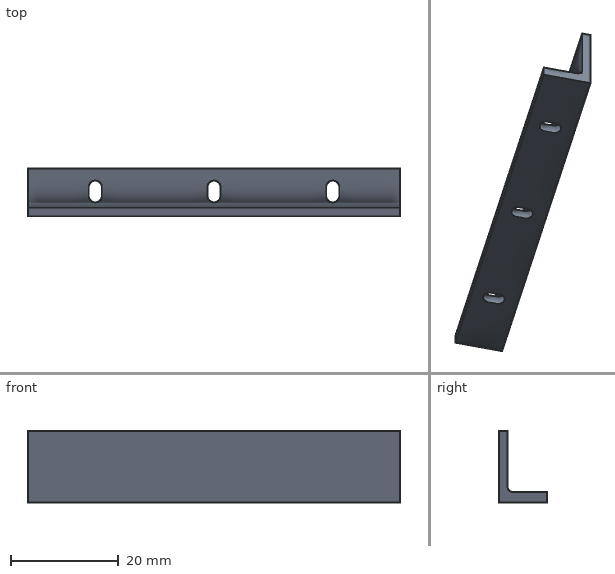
import cadquery as cq

length = 69.0
depth = 8.9
height = 13.3

wall_thickness = 1.6
base_thickness = 2.0
inner_fillet_radius = 1.0

slot_width = 2.4
slot_length = 4.0
slot_pitch = 22.0
slot_count = 3
slot_center_y = wall_thickness + inner_fillet_radius + slot_length / 2


def make_angle():
    """L-shaped bar along X: upright wall at Y = 0, base leg toward +Y."""
    profile = [
        (0, 0),
        (depth, 0),
        (depth, base_thickness),
        (wall_thickness, base_thickness),
        (wall_thickness, height),
        (0, height),
    ]
    bar = cq.Workplane("YZ").polyline(profile).close().extrude(length / 2, both=True)
    inner_corner = cq.selectors.NearestToPointSelector((0, wall_thickness, base_thickness))
    return bar.edges("|X").edges(inner_corner).fillet(inner_fillet_radius)


def make_slots():
    """Row of round-ended slots, long in Y, centred on the length of the bar."""
    first_x = -slot_pitch * (slot_count - 1) / 2
    centers = [(first_x + i * slot_pitch, slot_center_y) for i in range(slot_count)]
    return (
        cq.Workplane("XY")
        .pushPoints(centers)
        .slot2D(slot_length, slot_width, 90)
        .extrude(base_thickness)
    )


result = make_angle().cut(make_slots())